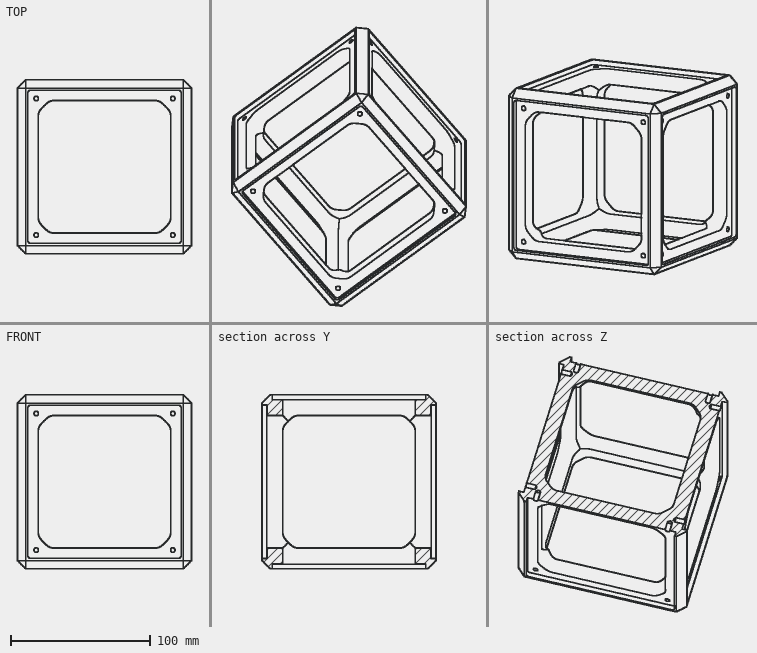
import cadquery as cq
import math

side = 125.0
edge_chamfer = 6.0
recess_margin = 7.5
recess_depth = 3.5
recess_corner_radius = 2.0
frame_width = 15.0
window_corner_cut = 8.0
window_blend_radius = 8.0
screw_margin = 13.5
screw_diameter = 3.2
screw_depth = 7.0
drill_point_angle = 118.0

half_side = side / 2
recess_floor = half_side - recess_depth
recess_width = side - 2 * recess_margin
window_width = side - 2 * frame_width
screw_radius = screw_diameter / 2
drill_point_length = screw_radius / math.tan(math.radians(drill_point_angle / 2))
screw_pitch = side - 2 * screw_margin

center = (0, 0, 0)

face_pairs = [
    ((1, 0, 0), (0, 1, 0)),
    ((0, 1, 0), (1, 0, 0)),
    ((0, 0, 1), (1, 0, 0)),
]


def edges_along(direction):
    return cq.selectors.ParallelDirSelector(cq.Vector(*direction))


def recess_floor_plane(normal, x_direction):
    return cq.Plane(cq.Vector(*normal) * recess_floor, x_direction, normal)


def bevelled_cube():
    return cq.Workplane("XY").box(side, side, side).edges().chamfer(edge_chamfer)


def window(normal, x_direction):
    """Through prism: a square with cut and blended corners."""
    prism = (
        cq.Workplane(cq.Plane(center, x_direction, normal))
        .rect(window_width, window_width)
        .extrude(half_side, both=True)
    )
    along = edges_along(normal)
    return prism.edges(along).chamfer(window_corner_cut).edges(along).fillet(window_blend_radius)


def recess(normal, x_direction):
    """Shallow square pocket sunk from one face."""
    return (
        cq.Workplane(recess_floor_plane(normal, x_direction))
        .rect(recess_width, recess_width)
        .extrude(recess_depth)
        .edges(edges_along(normal))
        .fillet(recess_corner_radius)
    )


def drill():
    """Drill body pointing down, with its mouth centred on the origin."""
    return (
        cq.Workplane("XZ")
        .lineTo(screw_radius, 0)
        .lineTo(screw_radius, -screw_depth)
        .lineTo(0, -screw_depth - drill_point_length)
        .close()
        .revolve(360, (0, 0, 0), (0, 1, 0))
        .val()
    )


def screw_holes(normal, x_direction):
    """Four blind holes with conical bottoms, sunk from one recess floor."""
    return (
        cq.Workplane(recess_floor_plane(normal, x_direction))
        .rect(screw_pitch, screw_pitch, forConstruction=True)
        .vertices()
        .eachpoint(drill(), useLocalCoordinates=True)
    )


frame = bevelled_cube()
for axis, x_direction in face_pairs:
    frame = frame.cut(window(axis, x_direction))
    opposite = tuple(-component for component in axis)
    for outward in (axis, opposite):
        frame = frame.cut(recess(outward, x_direction))
        frame = frame.cut(screw_holes(outward, x_direction))

result = frame